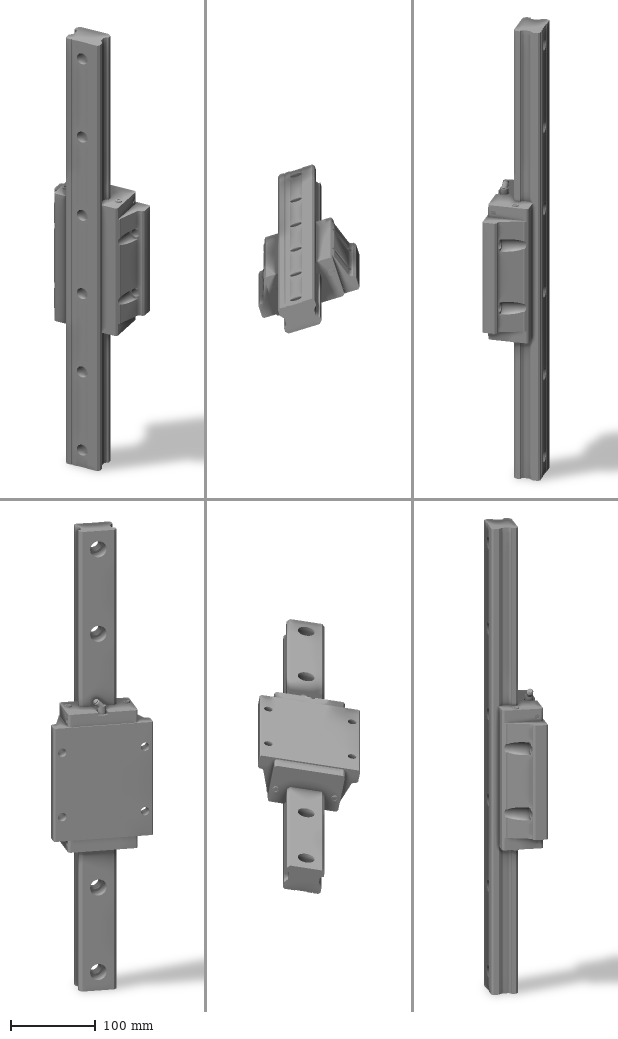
import cadquery as cq


rail_length = 570.0
rail_half_width = 45.0 / 2
rail_height = 32.5
foot_chamfer = 2.0
shoulder_bottom = 8.5
neck_bottom = 13.5
neck_half_width = 18.0
neck_top = 21.0
head_inset = 2.0
head_bottom = 24.0
head_chamfer = 3.5
foot_recess_half_width = 7.5
foot_recess_depth = 0.5
mark_groove_x = -13.5
mark_groove_width = 1.5
mark_groove_depth = 0.5
rail_hole_count = 6
rail_hole_pitch = 105.0
rail_hole_diameter = 14.0
rail_counterbore_diameter = 20.0
rail_counterbore_depth = 17.0

carriage_z = -17.5
block_length = 140.0
block_top = 60.0
carriage_bottom = 8.5
flange_half_width = 120.0 / 2
flange_top_chamfer = 1.5
flange_side_bottom = 44.5
flange_edge = (57.5, 42.0)
flank_top = (52.5, 39.5)
leg_half_width = 44.0
flank_bottom = 14.0
block_foot_chamfer = 4.0
mount_spacing_x = 100.5
mount_spacing_z = 80.0
mount_hole_diameter = 10.0
mount_relief_diameter = 16.0
mount_relief_top = 40.5

cap_half_width = 42.0
cap_top = 58.0
cap_thickness = 12.0
cap_chamfer = 2.0
seal_corner_radius = 3.5
seal_thickness = 3.5
plug_hole_diameter = 5.5
plug_hole_depth = 1.0
plug_hole_y = 51.0
screw_x = 35.5
screw_y = 26.0
screw_head_diameter = 8.0
screw_head_height = 1.5
socket_diameter = 4.5
socket_depth = 1.0
seal_slot_width = 12.0

nipple_y = 49.5
nipple_base_diameter = 9.5
nipple_thread_diameter = 5.5
nipple_thread_depth = 5.5
nipple_base_height = 6.0
nipple_elbow_height = 4.5
nipple_tilt = 45
nipple_head_diameter = 7.5
nipple_neck_diameter = 5.5
nipple_tip_diameter = 4.5
nipple_collar_end = 8.0
nipple_neck_end = 9.0
nipple_rim_end = 10.0
nipple_length = 12.0

block_end = block_length / 2
cap_end = block_end + cap_thickness
seal_end = cap_end + seal_thickness


def mirrored_outline(right_side):
    """Closed outline from the points of its +X side, listed from bottom to top."""
    left_side = [(-x, y) for x, y in reversed(right_side)]
    return cq.Workplane("XY").polyline(right_side + left_side).close()


def prism(outline, z_start, length):
    return outline.extrude(length).translate((0, 0, z_start))


def box_between(x_start, x_end, y_start, y_end, z_start, z_end):
    size = (x_end - x_start, y_end - y_start, z_end - z_start)
    return cq.Workplane("XY").box(*size, centered=False).translate((x_start, y_start, z_start))


def y_cylinder(x, y_start, y_end, z, diameter):
    solid = cq.Solid.makeCylinder(diameter / 2, y_end - y_start, cq.Vector(x, y_start, z), cq.Vector(0, 1, 0))
    return cq.Workplane(obj=solid)


def rail_envelope():
    """Rail section with a square foot, as a bar of the full rail length."""
    outline = mirrored_outline([
        (rail_half_width, 0),
        (rail_half_width, shoulder_bottom),
        (neck_half_width, neck_bottom),
        (neck_half_width, neck_top),
        (rail_half_width - head_inset, head_bottom),
        (rail_half_width, head_bottom),
        (rail_half_width, rail_height - head_chamfer),
        (rail_half_width - head_chamfer, rail_height),
    ])
    return prism(outline, -rail_length / 2, rail_length)


def make_rail():
    rail = rail_envelope()
    rail = rail.faces("<Y").edges("|Z").chamfer(foot_chamfer)
    half = rail_length / 2
    rail = rail.cut(box_between(
        -foot_recess_half_width, foot_recess_half_width, 0, foot_recess_depth, -half, half))
    rail = rail.cut(box_between(
        mark_groove_x - mark_groove_width / 2, mark_groove_x + mark_groove_width / 2,
        0, mark_groove_depth, -half, half))
    for i in range(rail_hole_count):
        z = (i - (rail_hole_count - 1) / 2) * rail_hole_pitch
        rail = rail.cut(y_cylinder(0, 0, rail_height, z, rail_hole_diameter))
        rail = rail.cut(y_cylinder(
            0, rail_height - rail_counterbore_depth, rail_height, z, rail_counterbore_diameter))
    return rail


def block_half():
    """The +X half of the block, with a concave fillet where the flank meets the flange."""
    outline = (
        cq.Workplane("XY")
        .moveTo(0, carriage_bottom)
        .lineTo(leg_half_width - block_foot_chamfer, carriage_bottom)
        .lineTo(leg_half_width, carriage_bottom + block_foot_chamfer)
        .lineTo(leg_half_width, flank_bottom)
        .lineTo(*flank_top)
        .tangentArcPoint(flange_edge, relative=False)
        .lineTo(flange_half_width, flange_side_bottom)
        .lineTo(flange_half_width, block_top - flange_top_chamfer)
        .lineTo(flange_half_width - flange_top_chamfer, block_top)
        .lineTo(0, block_top)
        .close()
    )
    return prism(outline, carriage_z - block_end, block_length)


def make_block():
    half = block_half()
    block = half.union(half.mirror("YZ")).cut(rail_envelope())
    for side in (-1, 1):
        x = side * mount_spacing_x / 2
        for end in (-1, 1):
            z = carriage_z + end * mount_spacing_z / 2
            block = block.cut(y_cylinder(x, 0, block_top, z, mount_hole_diameter))
            block = block.cut(y_cylinder(x, 0, mount_relief_top, z, mount_relief_diameter))
    return block


def end_plate(z_start, thickness):
    """Plain plate with the end-cap outline, straddling the rail."""
    size = (2 * cap_half_width, cap_top - carriage_bottom)
    return cq.Workplane("XY").rect(*size).extrude(thickness).translate(
        (0, (cap_top + carriage_bottom) / 2, z_start))


def make_end_cap(end):
    z_middle = carriage_z + end * (block_end + cap_thickness / 2)
    cap = end_plate(z_middle - cap_thickness / 2, cap_thickness).edges("|Z").chamfer(cap_chamfer)
    cap = cap.cut(rail_envelope())
    for side in (-1, 1):
        direction = cq.Vector(-side, 0, 0)
        start = cq.Vector(side * cap_half_width, plug_hole_y, z_middle)
        cap = cap.cut(cq.Workplane(
            obj=cq.Solid.makeCylinder(plug_hole_diameter / 2, plug_hole_depth, start, direction)))
    return cap


def make_end_seal(end):
    """Seal plate together with its two screw heads; built on the +Z side and mirrored for the other."""
    seal = end_plate(cap_end, seal_thickness).edges("|Z").fillet(seal_corner_radius)
    seal = seal.cut(rail_envelope())
    for side in (-1, 1):
        centre = (side * screw_x, screw_y)
        head = cq.Workplane("XY").center(*centre).circle(screw_head_diameter / 2).extrude(screw_head_height)
        socket = cq.Workplane("XY").center(*centre).circle(socket_diameter / 2).extrude(socket_depth)
        seal = seal.union(head.translate((0, 0, seal_end)))
        seal = seal.cut(socket.translate((0, 0, seal_end + screw_head_height - socket_depth)))
    if end < 0:
        return seal.mirror("XY").translate((0, 0, carriage_z))
    return seal.cut(seal_slot()).translate((0, 0, carriage_z))


def seal_slot():
    """Slot with a round bottom, open at the top, through which the nipple reaches the cap."""
    slot = cq.Workplane("XY").center(0, nipple_y).circle(seal_slot_width / 2).extrude(seal_thickness)
    slot = slot.translate((0, 0, cap_end))
    half = seal_slot_width / 2
    return slot.union(box_between(-half, half, nipple_y, cap_top, cap_end, seal_end))


def nipple_thread():
    thread = cq.Workplane("XY").center(0, nipple_y).circle(nipple_thread_diameter / 2)
    return thread.extrude(nipple_thread_depth).translate((0, 0, carriage_z + cap_end - nipple_thread_depth))


def make_nipple():
    """Grease nipple whose head leans toward +X."""
    base_height = seal_thickness + nipple_base_height
    base = cq.Workplane("XY").center(0, nipple_y).circle(nipple_base_diameter / 2).extrude(base_height)
    base = base.translate((0, 0, carriage_z + cap_end))
    head = (
        cq.Workplane("XZ")
        .polyline([
            (0, 0),
            (nipple_head_diameter / 2, 0),
            (nipple_head_diameter / 2, nipple_collar_end),
            (nipple_neck_diameter / 2, nipple_neck_end),
            (nipple_head_diameter / 2, nipple_rim_end),
            (nipple_tip_diameter / 2, nipple_length),
            (0, nipple_length),
        ])
        .close()
        .revolve(360, (0, 0, 0), (0, 1, 0))
        .rotate((0, 0, 0), (0, 1, 0), nipple_tilt)
        .translate((0, nipple_y, carriage_z + seal_end + nipple_elbow_height))
    )
    return base.union(head).union(nipple_thread())


rail = make_rail()
block = make_block()
end_caps = [make_end_cap(end) for end in (-1, 1)]
end_caps[1] = end_caps[1].cut(nipple_thread())
end_seals = [make_end_seal(end) for end in (-1, 1)]
nipple = make_nipple()

result = cq.Compound.makeCompound([
    rail.val(),
    block.val(),
    *[cap.val() for cap in end_caps],
    *[seal.val() for seal in end_seals],
    nipple.val(),
])